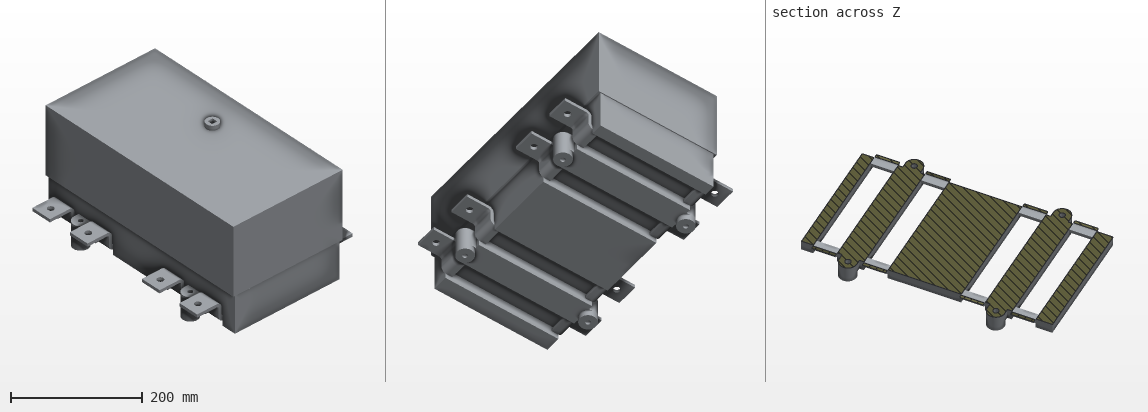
import cadquery as cq

SIDES = (-1, 1)

BASE_BOTTOM = 10.5
LUG_TOP = 45.5
TERMINAL_BOTTOM = 20.0
TERMINAL_TOP = 56.2
COVER_BOTTOM = 82.5
COVER_TOP = 213.0
BOSS_TOP = 222.0

COVER_LENGTH = 426.0
COVER_WIDTH = 223.0
BOSS_DIAMETER = 24.0
BOSS_Y = 40.5
SOCKET_SIDE = 10.2

END_SETBACK = 1.5
SIDE_SETBACK = 4.5
BASE_LENGTH = COVER_LENGTH - 2 * END_SETBACK
BASE_WIDTH = COVER_WIDTH - 2 * SIDE_SETBACK
WALL_Y = BASE_WIDTH / 2

LUG_DIAMETER = 30.0
LUG_HOLE_DIAMETER = 9.0
LUG_SPACING_Y = 232.0
LUG_Y = LUG_SPACING_Y / 2

TERMINAL_WIDTH = 40.0
TERMINAL_THICKNESS = 6.0
TERMINAL_TIP_SPAN = 317.0
TERMINAL_TIP_Y = TERMINAL_TIP_SPAN / 2
TERMINAL_HOLE_DIAMETER = 12.0
TERMINAL_HOLE_Y = 139.0
WALL_GAP = 1.5
FOOT_LENGTH = 12.8
INNER_BEND_RADIUS = 4.3
OUTER_BEND_RADIUS = INNER_BEND_RADIUS + TERMINAL_THICKNESS

GROUP_CENTER_X = -4.0
GROUP_SPACING = 248.8
TERMINAL_PITCH = 85.0
LUG_XS = [GROUP_CENTER_X + side * GROUP_SPACING / 2 for side in SIDES]
TERMINAL_XS = [x + side * TERMINAL_PITCH / 2 for x in LUG_XS for side in SIDES]


def block(length, width, bottom, top):
    """Box centered on the Z axis between two levels."""
    return cq.Workplane("XY").workplane(offset=bottom).rect(length, width).extrude(top - bottom)


def make_cover():
    """Plain block with the socketed boss on top; the socket ends level with the block's top."""
    boss = (
        cq.Workplane("XY", origin=(GROUP_CENTER_X, BOSS_Y, COVER_TOP))
        .circle(BOSS_DIAMETER / 2)
        .rect(SOCKET_SIDE, SOCKET_SIDE)
        .extrude(BOSS_TOP - COVER_TOP)
    )
    return block(COVER_LENGTH, COVER_WIDTH, COVER_BOTTOM, COVER_TOP).union(boss)


def make_lug(x, side):
    """Solid post, still undrilled, joined to the base wall by a neck as wide as the post."""
    post = cq.Workplane("XY").circle(LUG_DIAMETER / 2).extrude(LUG_TOP)
    neck = (
        cq.Workplane("XY", origin=(0, (WALL_Y - LUG_Y) / 2, BASE_BOTTOM))
        .rect(LUG_DIAMETER, LUG_Y - WALL_Y)
        .extrude(LUG_TOP - BASE_BOTTOM)
    )
    lug = post.union(neck)
    if side < 0:
        lug = lug.mirror("XZ")
    return lug.translate((x, side * LUG_Y, 0))


def make_base():
    """Block with open slots under the terminals and drilled lugs along both long sides."""
    base = block(BASE_LENGTH, BASE_WIDTH, BASE_BOTTOM, COVER_BOTTOM)
    slot_top = TERMINAL_BOTTOM + OUTER_BEND_RADIUS
    for x in TERMINAL_XS:
        slot = block(TERMINAL_WIDTH, BASE_WIDTH, BASE_BOTTOM, slot_top)
        base = base.cut(slot.translate((x, 0, 0)))
    lug_places = [(x, side) for x in LUG_XS for side in SIDES]
    for x, side in lug_places:
        base = base.union(make_lug(x, side))
    for x, side in lug_places:
        hole = cq.Workplane("XY").circle(LUG_HOLE_DIAMETER / 2).extrude(LUG_TOP)
        base = base.cut(hole.translate((x, side * LUG_Y, 0)))
    return base


def make_terminal(x, side):
    """Z-shaped strip: foot in the base slot, upright outside the wall, drilled tongue on top."""
    upright_inner_y = WALL_Y + WALL_GAP
    upright_outer_y = upright_inner_y + TERMINAL_THICKNESS
    foot_bend_y = upright_outer_y - OUTER_BEND_RADIUS
    foot_end_y = WALL_Y - FOOT_LENGTH
    foot_top = TERMINAL_BOTTOM + TERMINAL_THICKNESS
    lower_bend_top = TERMINAL_BOTTOM + OUTER_BEND_RADIUS
    tongue_bend_y = upright_inner_y + OUTER_BEND_RADIUS
    tongue_bottom = TERMINAL_TOP - TERMINAL_THICKNESS
    upper_bend_bottom = TERMINAL_TOP - OUTER_BEND_RADIUS
    profile = (
        cq.Workplane("YZ")
        .moveTo(foot_end_y, TERMINAL_BOTTOM)
        .lineTo(foot_bend_y, TERMINAL_BOTTOM)
        .radiusArc((upright_outer_y, lower_bend_top), -OUTER_BEND_RADIUS)
        .lineTo(upright_outer_y, upper_bend_bottom)
        .radiusArc((tongue_bend_y, tongue_bottom), INNER_BEND_RADIUS)
        .lineTo(TERMINAL_TIP_Y, tongue_bottom)
        .lineTo(TERMINAL_TIP_Y, TERMINAL_TOP)
        .lineTo(tongue_bend_y, TERMINAL_TOP)
        .radiusArc((upright_inner_y, upper_bend_bottom), -OUTER_BEND_RADIUS)
        .lineTo(upright_inner_y, lower_bend_top)
        .radiusArc((foot_bend_y, foot_top), INNER_BEND_RADIUS)
        .lineTo(foot_end_y, foot_top)
        .close()
    )
    strip = profile.extrude(TERMINAL_WIDTH / 2, both=True)
    hole = (
        cq.Workplane("XY", origin=(0, TERMINAL_HOLE_Y, 0))
        .circle(TERMINAL_HOLE_DIAMETER / 2)
        .extrude(TERMINAL_TOP)
    )
    terminal = strip.cut(hole)
    if side < 0:
        terminal = terminal.mirror("XZ")
    return terminal.translate((x, 0, 0))


cover = make_cover()
base = make_base()
terminals = [make_terminal(x, side) for x in TERMINAL_XS for side in SIDES]

result = cq.Compound.makeCompound(
    [cover.val(), base.val(), *[terminal.val() for terminal in terminals]]
)